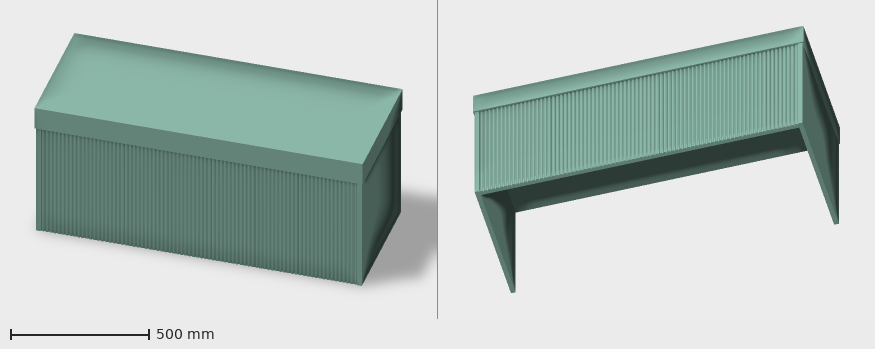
import cadquery as cq

lid_length = 1240.0
lid_depth = 500.0
total_height = 540.0
lid_thickness = 89.0
overhang = 5.0

side_thickness = 17.0
front_thickness = 15.0
front_gap = 1.0
front_recess = 1.0

flute_count = 80
flute_depth = 4.0
land_width = 4.0

panel_height = total_height - lid_thickness
panels_length = lid_length - 2 * overhang
side_depth = lid_depth - overhang
side_front_y = overhang - lid_depth / 2
front_length = panels_length - 2 * side_thickness
flute_pitch = front_length / flute_count
crest_y = side_front_y + front_recess
root_y = crest_y + flute_depth
front_back_y = root_y + front_thickness


def make_lid():
    """Plain slab that covers the panels and is flush with them at the back."""
    slab = cq.Workplane("XY").box(lid_length, lid_depth, lid_thickness, centered=(True, True, False))
    return slab.translate((0, 0, panel_height))


def make_side(end):
    """Upright end panel; end is -1 for the -X end and 1 for the +X end."""
    panel = cq.Workplane("XY").box(side_thickness, side_depth, panel_height, centered=(True, False, False))
    centre_x = end * (panels_length - side_thickness) / 2
    return panel.translate((centre_x, side_front_y, 0))


def make_front():
    """Panel between the sides with a row of upright convex flutes on its face."""
    left_x = -front_length / 2
    right_x = front_length / 2
    outline = cq.Workplane("XY").moveTo(left_x, front_back_y).lineTo(left_x, root_y)
    for index in range(flute_count):
        flute_start = left_x + index * flute_pitch + land_width / 2
        flute_end = flute_start + flute_pitch - land_width
        flute_middle = (flute_start + flute_end) / 2
        outline = outline.lineTo(flute_start, root_y)
        outline = outline.threePointArc((flute_middle, crest_y), (flute_end, root_y))
    outline = outline.lineTo(right_x, root_y).lineTo(right_x, front_back_y).close()
    return outline.extrude(panel_height - front_gap)


lid = make_lid()
sides = [make_side(end) for end in (-1, 1)]
front = make_front()

result = cq.Compound.makeCompound([lid.val(), *[side.val() for side in sides], front.val()])